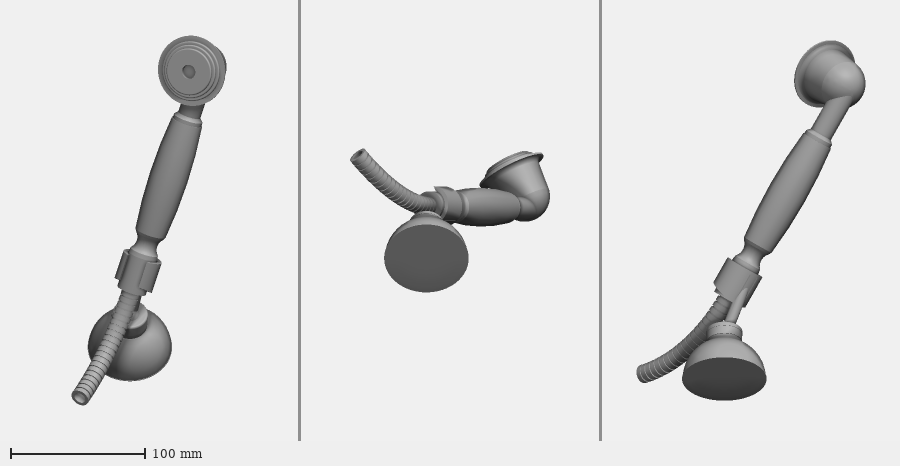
import cadquery as cq
import math


SHOWER_TILT = 43.5
SHOWER_Y = 34.7
SHOWER_Z = 102.0

RIM_RADIUS = 31.46
RIM_HEIGHT = 0.5
DOME_RADIUS = 31.0
DOME_MIDDLE_ANGLE = 35
DOME_TOP_Z = 28.0
FOOT_RADIUS = 12.8
FOOT_TOP_Z = 32.0
SLEEVE_RADIUS = 13.3
SLEEVE_TOP_Z = 38.5
CAP_RADIUS = 13.5
CAP_TOP_Z = 42.5
CAP_ROUND = 1.7

BALL_RADIUS = 9.5
BALL_Z = 36.2
ARM_RADIUS = 4.3
ARM_LENGTH = 50.6
ARM_TILT = 30

GRIP_LENGTH = 89.2
GRIP_END_RADIUS = 11.8
GRIP_MID_RADIUS = 14.5

COLLAR_RADIUS = 11.0
COLLAR_TOP_Z = GRIP_LENGTH + 3.0
COLLAR_TAPER = 2.7
PIPE_RADIUS = 8.55

WAIST_RADIUS = 8.0
WAIST_TOP_Z = -2.2
WAIST_MID_Z = -8.7
WAIST_BOTTOM_Z = -15.2
WAIST_END_RADIUS = 10.5
NUT_RADIUS = 11.0
NUT_TOP_Z = -18.5
NUT_BOTTOM_Z = -46.3

CLIP_RADIUS = 15.0
CLIP_BORE_RADIUS = 11.8
CLIP_SLOT_WIDTH = 16.0
CLIP_TOP_Z = -19.3
CLIP_FRONT_BOTTOM_Z = -38.5
CLIP_BACK_BOTTOM_Z = NUT_BOTTOM_Z
CLIP_WEB_TOP_Z = -21.7

HEAD_Z = 134.3
DOME_BACK = -9.0
CUP_BACK = 6.3
CUP_BACK_RADIUS = 18.5
CUP_FRONT = 27.5
CUP_FRONT_RADIUS = 20.7
FLARE_RADIUS = 23.6
FLANGE_BACK = 31.3
FLANGE_FRONT = 32.8
FLANGE_RADIUS = 26.3
FACE_STEP_RADII = (22.5, 20.0, 17.5)
FACE_STEP_HEIGHT = 2.2
FACE_ROUND = 1.0
NOZZLE_RADIUS = 5.3
NOZZLE_DEPTH = 4.3

HOSE_BEND_RADIUS = 97.6
HOSE_SWEEP = 56
HOSE_BORE_RADIUS = 4.5
HOSE_WALL_RADIUS = 6.0
RIB_RADIUS = 7.0
RIB_COUNT = 20
RIB_SHARE = 0.74


def revolve_about_z(profile):
    return profile.close().revolve(360, (0, 0, 0), (0, 1, 0))


def make_base():
    def dome_radius_at(z):
        return math.sqrt(DOME_RADIUS**2 - z**2)

    middle_z = DOME_RADIUS * math.sin(math.radians(DOME_MIDDLE_ANGLE))
    profile = (
        cq.Workplane("XZ")
        .lineTo(RIM_RADIUS, 0)
        .lineTo(RIM_RADIUS, RIM_HEIGHT)
        .lineTo(dome_radius_at(RIM_HEIGHT), RIM_HEIGHT)
        .threePointArc((dome_radius_at(middle_z), middle_z), (dome_radius_at(DOME_TOP_Z), DOME_TOP_Z))
        .lineTo(FOOT_RADIUS, DOME_TOP_Z)
        .lineTo(FOOT_RADIUS, FOOT_TOP_Z)
        .lineTo(SLEEVE_RADIUS, FOOT_TOP_Z)
        .lineTo(SLEEVE_RADIUS, SLEEVE_TOP_Z)
        .lineTo(CAP_RADIUS, SLEEVE_TOP_Z)
        .lineTo(CAP_RADIUS, CAP_TOP_Z - CAP_ROUND)
        .radiusArc((CAP_RADIUS - CAP_ROUND, CAP_TOP_Z), -CAP_ROUND)
        .lineTo(0, CAP_TOP_Z)
    )
    return revolve_about_z(profile)


def make_arm():
    ball = cq.Workplane("XY").sphere(BALL_RADIUS)
    rod = cq.Workplane("XY").circle(ARM_RADIUS).extrude(ARM_LENGTH)
    rod = rod.rotate((0, 0, 0), (1, 0, 0), -ARM_TILT)
    return ball.union(rod).translate((0, 0, BALL_Z))


def make_handle():
    profile = (
        cq.Workplane("XZ")
        .moveTo(0, NUT_BOTTOM_Z)
        .lineTo(NUT_RADIUS, NUT_BOTTOM_Z)
        .lineTo(NUT_RADIUS, NUT_TOP_Z)
        .lineTo(WAIST_END_RADIUS, WAIST_BOTTOM_Z)
        .threePointArc((WAIST_RADIUS, WAIST_MID_Z), (WAIST_END_RADIUS, WAIST_TOP_Z))
        .lineTo(GRIP_END_RADIUS, 0)
        .threePointArc((GRIP_MID_RADIUS, GRIP_LENGTH / 2), (GRIP_END_RADIUS, GRIP_LENGTH))
        .lineTo(COLLAR_RADIUS, GRIP_LENGTH)
        .lineTo(COLLAR_RADIUS, COLLAR_TOP_Z)
        .lineTo(PIPE_RADIUS, COLLAR_TOP_Z + COLLAR_TAPER)
        .lineTo(PIPE_RADIUS, HEAD_Z)
        .lineTo(0, HEAD_Z)
    )
    return revolve_about_z(profile)


def make_clip():
    side = (
        cq.Workplane("YZ")
        .moveTo(CLIP_RADIUS, CLIP_TOP_Z)
        .lineTo(-CLIP_RADIUS, CLIP_TOP_Z)
        .lineTo(-CLIP_RADIUS, CLIP_FRONT_BOTTOM_Z)
        .lineTo(CLIP_RADIUS, CLIP_BACK_BOTTOM_Z)
        .close()
        .extrude(CLIP_RADIUS, both=True)
    )
    height = CLIP_TOP_Z - CLIP_BACK_BOTTOM_Z
    plan = cq.Workplane("XY", origin=(0, 0, CLIP_BACK_BOTTOM_Z))
    ring = plan.circle(CLIP_RADIUS).circle(CLIP_BORE_RADIUS).extrude(height)
    slot = plan.center(0, -CLIP_RADIUS).rect(CLIP_SLOT_WIDTH, 2 * CLIP_RADIUS).extrude(height)
    web = (
        cq.Workplane("XY", origin=(0, CLIP_BORE_RADIUS, CLIP_BACK_BOTTOM_Z))
        .rect(CLIP_SLOT_WIDTH / 2, NUT_RADIUS / 2)
        .extrude(CLIP_WEB_TOP_Z - CLIP_BACK_BOTTOM_Z)
    )
    return ring.cut(slot).union(web).intersect(side)


def make_head():
    dome_depth = CUP_BACK - DOME_BACK
    sphere_radius = (CUP_BACK_RADIUS**2 + dome_depth**2) / (2 * dome_depth)
    profile = (
        cq.Workplane("XY")
        .moveTo(0, -DOME_BACK)
        .radiusArc((CUP_BACK_RADIUS, -CUP_BACK), sphere_radius)
        .lineTo(CUP_FRONT_RADIUS, -CUP_FRONT)
        .radiusArc((FLARE_RADIUS, -FLANGE_BACK), -(FLANGE_BACK - CUP_FRONT))
        .lineTo(FLANGE_RADIUS, -FLANGE_BACK)
        .lineTo(FLANGE_RADIUS, -FLANGE_FRONT)
    )
    front = FLANGE_FRONT
    for radius in FACE_STEP_RADII:
        profile = profile.lineTo(radius, -front)
        front += FACE_STEP_HEIGHT
        profile = profile.lineTo(radius, -(front - FACE_ROUND))
        profile = profile.radiusArc((radius - FACE_ROUND, -front), FACE_ROUND)
    nozzle_floor = front - NOZZLE_DEPTH
    profile = (
        profile.lineTo(NOZZLE_RADIUS, -front)
        .lineTo(NOZZLE_RADIUS, -nozzle_floor)
        .lineTo(0, -nozzle_floor)
    )
    return revolve_about_z(profile).translate((0, 0, HEAD_Z))


def hose_piece(radius, start_angle, sweep):
    bend_start = (2.5, -HOSE_BEND_RADIUS, NUT_BOTTOM_Z)
    bend_end = (-2.5, -HOSE_BEND_RADIUS, NUT_BOTTOM_Z)
    piece = (
        cq.Workplane("XY", origin=(0, 0, NUT_BOTTOM_Z))
        .circle(radius)
        .circle(HOSE_BORE_RADIUS)
        .revolve(sweep, (2.5, -HOSE_BEND_RADIUS, 0), (-2.5, -HOSE_BEND_RADIUS, 0))
    )
    return piece.rotate(bend_start, bend_end, start_angle)


def make_hose():
    pitch_angle = HOSE_SWEEP / RIB_COUNT
    rib_angle = pitch_angle * RIB_SHARE
    hose = hose_piece(HOSE_WALL_RADIUS, 0, HOSE_SWEEP)
    for index in range(RIB_COUNT):
        rib_start = (index + 1) * pitch_angle - rib_angle
        hose = hose.union(hose_piece(RIB_RADIUS, rib_start, rib_angle))
    return hose


shower = make_handle().union(make_clip()).union(make_head()).union(make_hose())
shower = shower.rotate((0, 0, 0), (1, 0, 0), -SHOWER_TILT).translate((0, SHOWER_Y, SHOWER_Z))

result = make_base().union(make_arm()).union(shower)